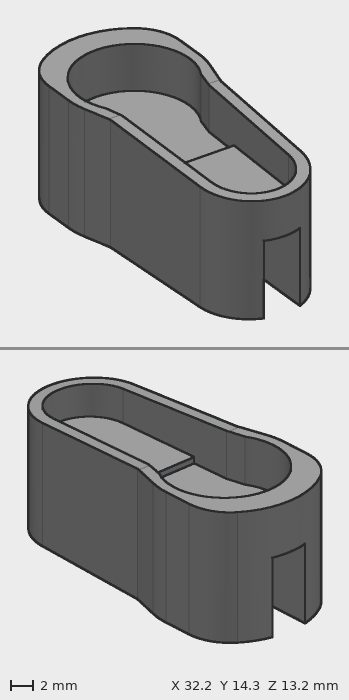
import cadquery as cq
import math

length = 32.25
width = 14.3
height = 13.25
tip_height = 12.22
slope_start_x = 13.48

shoulder_radius = 4.97
shoulder_end_x = 5.65
neck_start_x = 8.75
neck_radius = 7.32
neck_angle = math.radians(16.5)
waist_x = 13.7
tip_radius = 5.5
waist_half_width = 6.03

bowl_center_x = 8.8
bowl_radius = 6.0
bowl_exit_x = 11.77
pocket_waist_half_width = 4.75
wall = 1.3
bowl_floor = 8.4
step_x = 17.85
tip_floor = 9.03

slot_width = 3.95
slot_height = 8.05

half_width = width / 2
tip_center_x = length - tip_radius
shoulder_center_y = half_width - shoulder_radius
nose_radius = (shoulder_end_x**2 + shoulder_center_y**2 - shoulder_radius**2) / (
    2 * (shoulder_end_x - shoulder_radius)
)


def tangent_point(radius, start_half_width):
    """Upper point where a line from the waist touches an arc about the tip center."""
    run = waist_x - tip_center_x
    distance = math.hypot(run, start_half_width)
    angle = math.atan2(start_half_width, run) - math.acos(radius / distance)
    return (tip_center_x + radius * math.cos(angle), radius * math.sin(angle))


def mirrored(point):
    return (point[0], -point[1])


def make_body():
    join_angle = math.atan2(shoulder_center_y, shoulder_end_x - nose_radius)
    nose_join = (
        nose_radius + nose_radius * math.cos(join_angle),
        nose_radius * math.sin(join_angle),
    )
    shoulder_mid_angle = (join_angle + math.pi / 2) / 2
    shoulder_mid = (
        shoulder_end_x + shoulder_radius * math.cos(shoulder_mid_angle),
        shoulder_center_y + shoulder_radius * math.sin(shoulder_mid_angle),
    )
    shoulder_end = (shoulder_end_x, half_width)
    neck_start = (neck_start_x, half_width)

    def neck_point(angle):
        drop = neck_radius * (1 - math.cos(angle))
        return (neck_start_x + neck_radius * math.sin(angle), half_width - drop)

    neck_mid = neck_point(neck_angle / 2)
    neck_end = neck_point(neck_angle)
    waist = (waist_x, waist_half_width)
    tip_join = tangent_point(tip_radius, waist_half_width)
    return (
        cq.Workplane("XY")
        .moveTo(*nose_join)
        .threePointArc(shoulder_mid, shoulder_end)
        .lineTo(*neck_start)
        .threePointArc(neck_mid, neck_end)
        .lineTo(*waist)
        .lineTo(*tip_join)
        .threePointArc((length, 0), mirrored(tip_join))
        .lineTo(*mirrored(waist))
        .lineTo(*mirrored(neck_end))
        .threePointArc(mirrored(neck_mid), mirrored(neck_start))
        .lineTo(*mirrored(shoulder_end))
        .threePointArc(mirrored(shoulder_mid), mirrored(nose_join))
        .threePointArc((0, 0), nose_join)
        .close()
        .extrude(height)
    )


def make_top_slope():
    """Wedge above the top face, which falls toward the narrow end."""
    return (
        cq.Workplane("XZ")
        .polyline([(slope_start_x, height), (length, height), (length, tip_height)])
        .close()
        .extrude(half_width, both=True)
    )


def make_pocket():
    bowl_exit_y = math.sqrt(bowl_radius**2 - (bowl_exit_x - bowl_center_x) ** 2)
    bowl_exit = (bowl_exit_x, bowl_exit_y)
    waist = (waist_x, pocket_waist_half_width)
    tip_join = tangent_point(tip_radius - wall, pocket_waist_half_width)
    pocket = (
        cq.Workplane("XY", origin=(0, 0, bowl_floor))
        .moveTo(*bowl_exit)
        .lineTo(*waist)
        .lineTo(*tip_join)
        .threePointArc((length - wall, 0), mirrored(tip_join))
        .lineTo(*mirrored(waist))
        .lineTo(*mirrored(bowl_exit))
        .threePointArc((bowl_center_x - bowl_radius, 0), bowl_exit)
        .close()
        .extrude(height - bowl_floor)
    )
    raised_floor = cq.Workplane("XY", origin=(step_x, 0, bowl_floor)).box(
        length - step_x, width, tip_floor - bowl_floor, centered=(False, True, False)
    )
    return pocket.cut(raised_floor)


def make_slot():
    return cq.Workplane("XY").box(
        length, slot_width, slot_height, centered=(False, True, False)
    )


result = make_body().cut(make_top_slope()).cut(make_pocket()).cut(make_slot())